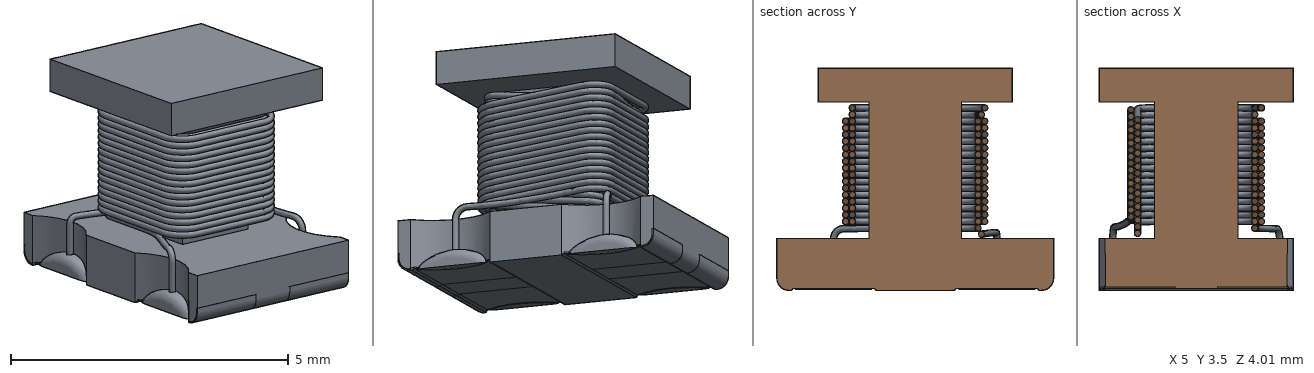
import cadquery as cq
import math

BASE_LENGTH = 5.0
WIDTH = 3.5
HEIGHT = 4.01
BASE_TOP = 0.94
FLANGE_THICKNESS = 0.61
COLUMN_X = 1.67
COLUMN_Y = 1.515
END_RADIUS = 0.225
FOOT_WIDTH = 0.04
RECESS_DEPTH = 0.035
RECESS_INNER_X = 0.7

NOTCH_X = 1.475
NOTCH_HALF_CHORD = 0.775
NOTCH_DEPTH = 0.31

PLATING = 0.025
PLATING_TOP = 0.325
TERMINAL_GAP = 0.78
BEAD_RADIUS = 1.1
BEAD_TOP = 0.355
BEAD_BOTTOM = 0.02
BEAD_FACE_Y = 1.705
BEAD_FILLET = 0.18

TOP_LEVEL_Z = 3.295
LOW_LEVEL_Z = 1.125
LOW_LEVEL = 19
WIRE_GAP = 0.0025
INNER_OFFSET = 0.3
OUTER_OFFSET = 0.42
WIRE_COUNT = 2
LEAD_Y = 1.505
LEAD_BOTTOM = 0.25
BEND_START_Z = 0.92
A_START_LEAD_Z = 1.045
A_END_LEAD_Z = 1.17
B_START_LEAD_Z = 1.115
B_END_LEAD_Z = 1.145
B_START_X = 0.12

HALF_LENGTH = BASE_LENGTH / 2
HALF_WIDTH = WIDTH / 2
COL_X = COLUMN_X / 2
COL_Y = COLUMN_Y / 2
FOOT_START = HALF_LENGTH - END_RADIUS
FOOT_END = FOOT_START - FOOT_WIDTH
NOTCH_RADIUS = (NOTCH_HALF_CHORD**2 + NOTCH_DEPTH**2) / (2 * NOTCH_DEPTH)
NOTCH_AXIS_Y = HALF_WIDTH - NOTCH_DEPTH + NOTCH_RADIUS
PITCH = (TOP_LEVEL_Z - LOW_LEVEL_Z) / (LOW_LEVEL - 1)
WIRE_DIAMETER = PITCH - WIRE_GAP
SIDES = (-1, 1)
COS45 = math.cos(math.radians(45))


def mirror_to(body, side_x, side_y):
    """Move a body made at the +X +Y corner to the corner with the given signs."""
    if side_x < 0:
        body = body.mirror("YZ")
    if side_y < 0:
        body = body.mirror("XZ")
    return body


def make_base():
    outline = cq.Workplane("XZ").moveTo(0, 0).lineTo(RECESS_INNER_X, 0)
    outline = outline.lineTo(RECESS_INNER_X + RECESS_DEPTH, RECESS_DEPTH)
    outline = outline.lineTo(FOOT_END - RECESS_DEPTH, RECESS_DEPTH)
    outline = outline.lineTo(FOOT_END, 0).lineTo(FOOT_START, 0)
    outline = outline.radiusArc((HALF_LENGTH, END_RADIUS), -END_RADIUS)
    outline = outline.lineTo(HALF_LENGTH, BASE_TOP).lineTo(0, BASE_TOP).close()
    half = outline.extrude(HALF_WIDTH, both=True)
    return half.union(half.mirror("YZ"))


def make_notch_cutter():
    return cq.Workplane("XY").center(NOTCH_X, NOTCH_AXIS_Y).circle(NOTCH_RADIUS).extrude(BASE_TOP)


def make_core(terminals):
    core = make_base()
    column_height = HEIGHT - FLANGE_THICKNESS - BASE_TOP
    column = cq.Workplane("XY").workplane(offset=BASE_TOP).rect(COLUMN_X, COLUMN_Y).extrude(column_height)
    flange = cq.Workplane("XY").workplane(offset=HEIGHT).rect(WIDTH, WIDTH).extrude(-FLANGE_THICKNESS)
    core = core.union(column).union(flange)
    for side_x in SIDES:
        for side_y in SIDES:
            core = core.cut(mirror_to(make_notch_cutter(), side_x, side_y))
    for terminal in terminals:
        core = core.cut(terminal)
    return core


def make_plating():
    """Strip that wraps the end face, the foot and the recess, flush with the core."""
    inner_x = RECESS_INNER_X + RECESS_DEPTH
    inner_radius = END_RADIUS - PLATING
    roof = RECESS_DEPTH + PLATING
    outline = cq.Workplane("XZ", origin=(0, HALF_WIDTH, 0)).moveTo(inner_x, RECESS_DEPTH)
    outline = outline.lineTo(FOOT_END - RECESS_DEPTH, RECESS_DEPTH)
    outline = outline.lineTo(FOOT_END, 0).lineTo(FOOT_START, 0)
    outline = outline.radiusArc((HALF_LENGTH, END_RADIUS), -END_RADIUS)
    outline = outline.lineTo(HALF_LENGTH, PLATING_TOP).lineTo(HALF_LENGTH - PLATING, PLATING_TOP)
    outline = outline.lineTo(HALF_LENGTH - PLATING, END_RADIUS)
    outline = outline.radiusArc((FOOT_START, PLATING), inner_radius)
    outline = outline.lineTo(FOOT_END - RECESS_DEPTH, roof).lineTo(inner_x, roof).close()
    return outline.extrude(HALF_WIDTH - TERMINAL_GAP / 2)


def make_bead():
    """Solder bead in the notch: a disc segment with a rounded front edge."""
    disc = (
        cq.Workplane("XZ", origin=(NOTCH_X, BEAD_FACE_Y, BEAD_TOP - BEAD_RADIUS))
        .circle(BEAD_RADIUS)
        .extrude(2 * NOTCH_DEPTH)
        .faces(">Y")
        .edges()
        .fillet(BEAD_FILLET)
    )
    notch_space = make_notch_cutter().intersect(
        cq.Workplane("XY").workplane(offset=BEAD_BOTTOM).rect(BASE_LENGTH, WIDTH).extrude(BASE_TOP)
    )
    return disc.intersect(notch_space)


def make_terminal(side_x, side_y, wire):
    terminal = make_plating().cut(make_notch_cutter()).union(make_bead())
    return mirror_to(terminal, side_x, side_y).cut(wire)


def level_z(level):
    return TOP_LEVEL_Z - (level - 1) * PITCH


def line(start, end):
    return cq.Edge.makeLine(cq.Vector(*start), cq.Vector(*end))


def curve(points, start_direction, end_direction):
    """Smooth curve through the points with the given end directions."""
    vectors = [cq.Vector(*point) for point in points]
    return cq.Edge.makeSpline(vectors, tangents=[cq.Vector(*start_direction), cq.Vector(*end_direction)])


def flat_corner(side_x, side_y, offset, z):
    """Level quarter turn round one column corner, clockwise from above."""
    along_x = (side_x * (COL_X + offset), side_y * COL_Y, z)
    along_y = (side_x * COL_X, side_y * (COL_Y + offset), z)
    middle = (side_x * (COL_X + offset * COS45), side_y * (COL_Y + offset * COS45), z)
    ends = (along_x, along_y) if side_x * side_y < 0 else (along_y, along_x)
    return cq.Edge.makeThreePointArc(cq.Vector(*ends[0]), cq.Vector(*middle), cq.Vector(*ends[1]))


def step_slope(offset, rise):
    return rise / (COLUMN_X + offset * math.pi / 2)


def step_corner_rise(offset, rise):
    return step_slope(offset, rise) * offset * math.pi / 4


def step_entry_corner(offset, z, rise):
    """Quarter turn at the -X +Y corner whose slope grows from level to the step slope."""
    corner_rise = step_corner_rise(offset, rise)
    points = [
        (-COL_X - offset, COL_Y, z),
        (-COL_X - offset * COS45, COL_Y + offset * COS45, z + corner_rise / 4),
        (-COL_X, COL_Y + offset, z + corner_rise),
    ]
    return curve(points, (0, 1, 0), (1, 0, step_slope(offset, rise)))


def step_to_level(offset, z, rise):
    """Run along the +Y face, with both corners, that changes height by the rise."""
    corner_rise = step_corner_rise(offset, rise)
    end_z = z + rise
    straight = line((-COL_X, COL_Y + offset, z + corner_rise), (COL_X, COL_Y + offset, end_z - corner_rise))
    points = [
        (COL_X, COL_Y + offset, end_z - corner_rise),
        (COL_X + offset * COS45, COL_Y + offset * COS45, end_z - corner_rise / 4),
        (COL_X + offset, COL_Y, end_z),
    ]
    exit_corner = curve(points, (1, 0, step_slope(offset, rise)), (0, -1, 0))
    return [step_entry_corner(offset, z, rise), straight, exit_corner]


def plus_x_run(offset, z):
    x = COL_X + offset
    return [line((x, COL_Y, z), (x, -COL_Y, z)), flat_corner(1, -1, offset, z)]


def minus_y_run(offset, z):
    y = -COL_Y - offset
    return [line((COL_X, y, z), (-COL_X, y, z)), flat_corner(-1, -1, offset, z)]


def minus_x_run(offset, z):
    x = -COL_X - offset
    return [line((x, -COL_Y, z), (x, COL_Y, z))]


def turns(offset, first_level, last_level):
    """Turns from the -X face at the first level to the -X face at the last level."""
    edges = []
    level_step = WIRE_COUNT if last_level > first_level else -WIRE_COUNT
    for level in range(first_level, last_level, level_step):
        z = level_z(level + level_step)
        edges += step_to_level(offset, level_z(level), -level_step * PITCH)
        edges += plus_x_run(offset, z) + minus_y_run(offset, z) + minus_x_run(offset, z)
    return edges


def lead(side_x, side_y, top_z, heading):
    """Upright lead with a bend towards the heading. Returns its edges and the bend end."""
    length = math.hypot(*heading)
    dir_x, dir_y = heading[0] / length, heading[1] / length
    x, y = side_x * NOTCH_X, side_y * LEAD_Y
    bend_radius = top_z - BEND_START_Z
    bend_start = (x, y, BEND_START_Z)
    reach = bend_radius * (1 - COS45)
    bend_middle = (x + reach * dir_x, y + reach * dir_y, BEND_START_Z + bend_radius * COS45)
    bend_end = (x + bend_radius * dir_x, y + bend_radius * dir_y, top_z)
    bend = cq.Edge.makeThreePointArc(cq.Vector(*bend_start), cq.Vector(*bend_middle), cq.Vector(*bend_end))
    return [line((x, y, LEAD_BOTTOM), bend_start), bend], bend_end


def sweep_wire(edges):
    path = cq.Wire.assembleEdges(edges)
    start = edges[0].startPoint().toTuple()
    profile = cq.Workplane("XY", origin=start).circle(WIRE_DIAMETER / 2)
    return profile.sweep(cq.Workplane(obj=path))


def make_wire_a():
    """Wire between the two -X leads; it keeps to the even levels."""
    first_level, top_level, last_level = LOW_LEVEL + 1, 2, LOW_LEVEL - 1
    inner_x, outer_x = -COL_X - INNER_OFFSET, -COL_X - OUTER_OFFSET

    heading = (NOTCH_X + inner_x, LEAD_Y + COL_Y)
    edges, bend_end = lead(-1, -1, A_START_LEAD_Z, heading)
    coil_start = (inner_x, COL_Y, level_z(first_level))
    edges.append(curve([bend_end, coil_start], (*heading, 0), (0, 1, 0)))

    top_z = level_z(top_level)
    edges += turns(INNER_OFFSET, first_level, top_level)[:-1]
    edges.append(curve([(inner_x, -COL_Y, top_z), (outer_x, COL_Y, top_z)], (0, 1, 0), (0, 1, 0)))

    edges += turns(OUTER_OFFSET, top_level, last_level)
    end_edges, bend_end = lead(-1, 1, A_END_LEAD_Z, (NOTCH_X + outer_x, COL_Y - LEAD_Y))
    coil_end = (outer_x, COL_Y, level_z(last_level))
    away = (bend_end[0] - coil_end[0], bend_end[1] - coil_end[1], 0)
    edges.append(curve([coil_end, bend_end], (0, 1, 0), away))
    return sweep_wire(edges + end_edges[::-1])


def make_wire_b():
    """Wire between the two +X leads; it keeps to the odd levels."""
    first_level, top_level, last_level = LOW_LEVEL, 1, LOW_LEVEL - 2
    inner_y, outer_y = -COL_Y - INNER_OFFSET, -COL_Y - OUTER_OFFSET

    start_z = level_z(first_level)
    coil_start = (B_START_X, inner_y, start_z)
    heading = (B_START_X - NOTCH_X, LEAD_Y + inner_y)
    edges, bend_end = lead(1, -1, B_START_LEAD_Z, heading)
    edges.append(curve([bend_end, coil_start], (*heading, 0), (-1, 0, 0)))
    edges.append(line(coil_start, (-COL_X, inner_y, start_z)))
    edges.append(flat_corner(-1, -1, INNER_OFFSET, start_z))
    edges += minus_x_run(INNER_OFFSET, start_z)

    top_z = level_z(top_level)
    edges += turns(INNER_OFFSET, first_level, top_level)[:-3]
    edges.append(curve([(COL_X, inner_y, top_z), (-COL_X, outer_y, top_z)], (-1, 0, 0), (-1, 0, 0)))
    edges.append(flat_corner(-1, -1, OUTER_OFFSET, top_z))
    edges += minus_x_run(OUTER_OFFSET, top_z)

    edges += turns(OUTER_OFFSET, top_level, last_level)
    rise = -WIRE_COUNT * PITCH
    entry = step_entry_corner(OUTER_OFFSET, level_z(last_level), rise)
    coil_end = entry.endPoint().toTuple()
    heading = (-COL_X - NOTCH_X, coil_end[1] - LEAD_Y)
    end_edges, bend_end = lead(1, 1, B_END_LEAD_Z, heading)
    away = (-heading[0], -heading[1], 0)
    edges += [entry, curve([coil_end, bend_end], (1, 0, step_slope(OUTER_OFFSET, rise)), away)]
    return sweep_wire(edges + end_edges[::-1])


wire_a = make_wire_a()
wire_b = make_wire_b()
terminals = []
for side_x, wire in ((-1, wire_a), (1, wire_b)):
    for side_y in SIDES:
        terminals.append(make_terminal(side_x, side_y, wire))
core = make_core(terminals)

result = cq.Compound.makeCompound(
    [core.val(), wire_a.val(), wire_b.val(), *[terminal.val() for terminal in terminals]]
)